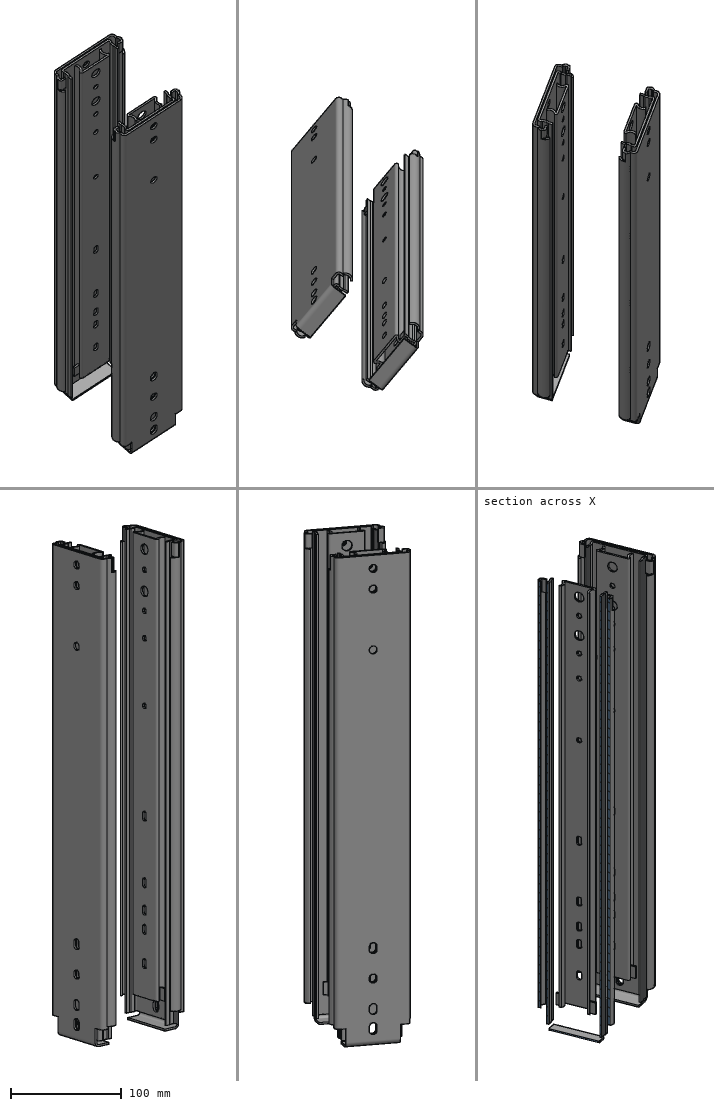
import cadquery as cq
import math


LENGTH = 460.0
SPAN = 100.0
SHEET = 2.0
OVERLAP = 0.5

OUTER_BACK_X = -SPAN / 2
OUTER_SHOULDER_Y = 35.5
OUTER_CORNER_R = 3.5
ROLL_CENTER_X = -38.5
ROLL_CREST_Y = 38.0
ROLL_R = 7.0
ROLL_HALF_WIDTH = 5.5
ROLL_BOTTOM_Z = 20.5
SHOULDER_BOTTOM_Z = 18.0
FOOT_WIDTH = 51.5
FOOT_END_X = -33.5
FOOT_BEND_R = 4.5
NOTCH_HEIGHT = 13.5
NOTCH_START_X = -40.0
STOP_FACE_X = -36.5
STOP_TIP_Y = 31.5
STOP_SINK = 1.0

MIDDLE_BACK_X = -47.0
MIDDLE_EDGE_X = -32.5
MIDDLE_HALF_Y = 28.5
MIDDLE_CORNER_R = 2.05
MIDDLE_BOTTOM_Z = 6.0
RACE_START_X = -43.2
RACE_END_X = -36.5
RACE_DEPTH = 0.7
RACE_SLOPE = 1.5

INNER_FACE_X = -31.5
INNER_EDGE_X = -42.5
INNER_WIDTH = 34.5
INNER_HALF_Y = INNER_WIDTH / 2
INNER_CORNER_R = 2.5
INNER_BOTTOM_Z = 26.0
TROUGH_CENTER_X = ROLL_CENTER_X
TROUGH_CENTER_Y = 19.5
TROUGH_R = 5.0
INNER_STOP_TIP_Y = 20.2
INNER_STOP_HEIGHT = 12.0

SMALL_D = 5.0
MEDIUM_D = 7.5
LARGE_D = 9.5
INNER_SLOT = 9.0
OUTER_SLOT = 10.0
LOWER_HOLE = 8.5
FOOT_SLOT = 11.0

TOP_HOLE_Z = 447.5
SECOND_HOLE_Z = 428.3
THIRD_HOLE_Z = 371.0
UPPER_SLOT_Z = 91.5
LOWER_HOLE_Z = 63.0
LOWER_SLOT_Z = 34.5
FOOT_SLOT_Z = 16.0
INNER_LARGE_HOLE_Z = 408.0
INNER_SMALL_HOLES_Z = (SECOND_HOLE_Z, 389.5, 364.0, 300.5)
INNER_SLOTS_Z = (197.0, 134.5, 108.5, 90.5, 58.5)

OUTER_HOLES = [
    (TOP_HOLE_Z, MEDIUM_D, MEDIUM_D),
    (SECOND_HOLE_Z, MEDIUM_D, MEDIUM_D),
    (THIRD_HOLE_Z, MEDIUM_D, MEDIUM_D),
    (UPPER_SLOT_Z, MEDIUM_D, OUTER_SLOT),
    (LOWER_HOLE_Z, MEDIUM_D, LOWER_HOLE),
    (LOWER_SLOT_Z, MEDIUM_D, OUTER_SLOT),
    (FOOT_SLOT_Z, MEDIUM_D, FOOT_SLOT),
]
MIDDLE_HOLES = [
    (TOP_HOLE_Z, MEDIUM_D, MEDIUM_D),
    (SECOND_HOLE_Z, MEDIUM_D, MEDIUM_D),
    (UPPER_SLOT_Z, MEDIUM_D, OUTER_SLOT),
    (LOWER_HOLE_Z, MEDIUM_D, LOWER_HOLE),
    (FOOT_SLOT_Z, MEDIUM_D, FOOT_SLOT),
]
INNER_HOLES = (
    [(TOP_HOLE_Z, LARGE_D, LARGE_D), (INNER_LARGE_HOLE_Z, LARGE_D, LARGE_D)]
    + [(z, SMALL_D, SMALL_D) for z in INNER_SMALL_HOLES_Z]
    + [(z, SMALL_D, INNER_SLOT) for z in INNER_SLOTS_Z]
)


def block(x0, x1, y0, y1, z0, z1):
    """Box between two opposite corners."""
    return cq.Workplane("XY").box(x1 - x0, y1 - y0, z1 - z0, centered=False).translate((x0, y0, z0))


def tube(x, y, outer_r, z0, z1):
    """Vertical tube with a wall of one sheet thickness."""
    ring = cq.Workplane("XY", origin=(x, y, z0)).circle(outer_r).circle(outer_r - SHEET)
    return ring.extrude(z1 - z0)


def both_edges(half):
    """Add the mirror image on the other side of the XZ plane."""
    return half.union(half.mirror("XZ"))


def channel(back_x, edge_x, half_y, corner_r, z0, z1):
    """U channel with its web at back_x and rounded bends."""
    outside = block(back_x, edge_x, -half_y, half_y, z0, z1)
    outside = outside.edges("|Z and <X").fillet(corner_r)
    inside = block(back_x + SHEET, edge_x + OVERLAP, SHEET - half_y, half_y - SHEET, z0, z1)
    return outside.cut(inside.edges("|Z and <X").fillet(corner_r - SHEET))


def pierce_web(member, web_x, holes):
    """Cut round holes and upright slots through the web that starts at web_x."""
    for z, width, height in holes:
        sketch = cq.Workplane("YZ", origin=(web_x - OVERLAP, 0, z))
        if height > width:
            sketch = sketch.slot2D(height, width, 90)
        else:
            sketch = sketch.circle(width / 2)
        member = member.cut(sketch.extrude(SHEET + 2 * OVERLAP))
    return member


def roll_stop(notch_z):
    """Stop lug left by the notch: a shelf just below the crest and a leg turned inwards."""
    shelf_y = ROLL_CREST_Y - STOP_SINK
    leg_x = STOP_FACE_X - SHEET
    shelf = block(NOTCH_START_X - SHEET / 2, STOP_FACE_X, shelf_y - SHEET, shelf_y, notch_z, LENGTH)
    lug = shelf.union(block(leg_x, STOP_FACE_X, STOP_TIP_Y, shelf_y, notch_z, LENGTH))
    return lug.edges("|Z and >X and >Y").fillet(SHEET)


def roll_arch():
    """Sheet bent to an arc over the ball track; its free edge is rounded."""
    center_y = ROLL_CREST_Y - ROLL_R
    inner_r = ROLL_R - SHEET
    middle_r = ROLL_R - SHEET / 2
    reach = math.asin(ROLL_HALF_WIDTH / ROLL_R)
    rounding = math.atan(SHEET / 2 / middle_r)

    def on_arc(radius, angle):
        return (ROLL_CENTER_X + radius * math.sin(angle), center_y + radius * math.cos(angle))

    section = (
        cq.Workplane("XY", origin=(0, 0, ROLL_BOTTOM_Z))
        .moveTo(*on_arc(ROLL_R, -reach))
        .threePointArc(on_arc(ROLL_R, 0), on_arc(ROLL_R, reach))
        .threePointArc(on_arc(middle_r / math.cos(rounding), reach + rounding), on_arc(inner_r, reach))
        .threePointArc(on_arc(inner_r, 0), on_arc(inner_r, -reach))
        .close()
    )
    return section.extrude(LENGTH - ROLL_BOTTOM_Z)


def roll():
    """Arched ball track along the +Y edge of the outer member, with its notch and stop lug."""
    notch_z = LENGTH - NOTCH_HEIGHT
    notch = block(NOTCH_START_X, ROLL_CENTER_X + ROLL_R, 0, ROLL_CREST_Y, notch_z, LENGTH)
    return roll_arch().cut(notch).union(roll_stop(notch_z))


def foot():
    """Narrow lower end of the outer web, bent towards the mirror plane."""
    half = FOOT_WIDTH / 2
    outside = block(OUTER_BACK_X, FOOT_END_X, -half, half, 0, SHOULDER_BOTTOM_Z)
    outside = outside.edges("|Y and <X and <Z").fillet(FOOT_BEND_R)
    inside = block(OUTER_BACK_X + SHEET, FOOT_END_X, -half, half, SHEET, SHOULDER_BOTTOM_Z)
    return outside.cut(inside.edges("|Y and <X and <Z").fillet(FOOT_BEND_R - SHEET))


def outer_member():
    shoulder_edge_x = ROLL_CENTER_X - ROLL_HALF_WIDTH + SHEET / 2
    body = channel(
        OUTER_BACK_X, shoulder_edge_x, OUTER_SHOULDER_Y, OUTER_CORNER_R, SHOULDER_BOTTOM_Z, LENGTH
    )
    body = body.union(both_edges(roll())).union(foot())
    return pierce_web(body, OUTER_BACK_X, OUTER_HOLES)


def race_outline(y):
    """Trapezoid as deep as the ball race, with its wide side at y."""
    return [
        (RACE_START_X, y),
        (RACE_START_X + RACE_SLOPE, y - RACE_DEPTH),
        (RACE_END_X - RACE_SLOPE, y - RACE_DEPTH),
        (RACE_END_X, y),
    ]


def race(y):
    """Full-length bar with the section of the ball race."""
    section = cq.Workplane("XY", origin=(0, 0, MIDDLE_BOTTOM_Z)).polyline(race_outline(y)).close()
    return section.extrude(LENGTH - MIDDLE_BOTTOM_Z)


def middle_member():
    body = channel(
        MIDDLE_BACK_X, MIDDLE_EDGE_X, MIDDLE_HALF_Y, MIDDLE_CORNER_R, MIDDLE_BOTTOM_Z, LENGTH
    )
    body = body.cut(both_edges(race(MIDDLE_HALF_Y)))
    body = body.union(both_edges(race(MIDDLE_HALF_Y - SHEET)))
    return pierce_web(body, MIDDLE_BACK_X, MIDDLE_HOLES)


def trough():
    """Ball groove along the +Y edge of the inner member."""
    groove = tube(TROUGH_CENTER_X, TROUGH_CENTER_Y, TROUGH_R + SHEET, INNER_BOTTOM_Z, LENGTH)
    return groove.intersect(block(INNER_EDGE_X, INNER_FACE_X, 0, INNER_HALF_Y, 0, LENGTH))


def trough_stop():
    """Stop lug standing in the lower end of the +Y ball groove."""
    return block(
        TROUGH_CENTER_X - SHEET / 2,
        TROUGH_CENTER_X + SHEET / 2,
        TROUGH_CENTER_Y - TROUGH_R - SHEET / 2,
        INNER_STOP_TIP_Y,
        INNER_BOTTOM_Z,
        INNER_BOTTOM_Z + INNER_STOP_HEIGHT,
    )


def inner_member():
    web_x = INNER_FACE_X - SHEET
    web = block(web_x, INNER_FACE_X, -INNER_HALF_Y, INNER_HALF_Y, INNER_BOTTOM_Z, LENGTH)
    envelope = block(INNER_EDGE_X, INNER_FACE_X, -INNER_HALF_Y, INNER_HALF_Y, INNER_BOTTOM_Z, LENGTH)
    envelope = envelope.edges("|Z and >X").fillet(INNER_CORNER_R)
    body = web.union(both_edges(trough())).intersect(envelope)
    body = body.union(both_edges(trough_stop()))
    return pierce_web(body, web_x, INNER_HOLES)


left_slide = [member().val() for member in (outer_member, middle_member, inner_member)]
right_slide = [body.mirror("YZ") for body in left_slide]
result = cq.Compound.makeCompound([*left_slide, *right_slide])